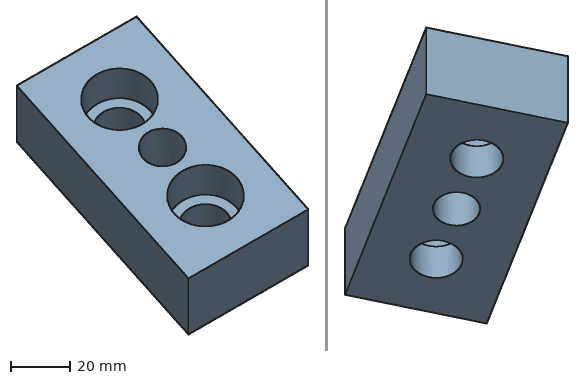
import cadquery as cq

length = 100.0
width = 50.0
height = 32.0

centre_hole_diameter = 16.0
bolt_spacing = 50.0
bolt_hole_diameter = 18.0
counterbore_diameter = 26.0
counterbore_depth = 17.0

block = cq.Workplane("XY").box(length, width, height, centered=(True, True, False))

drilled = block.faces(">Z").workplane().hole(centre_hole_diameter)

bolt_places = [(-bolt_spacing / 2, 0), (bolt_spacing / 2, 0)]
result = (
    drilled.faces(">Z")
    .workplane(origin=(0, 0, height))
    .pushPoints(bolt_places)
    .cboreHole(bolt_hole_diameter, counterbore_diameter, counterbore_depth)
)